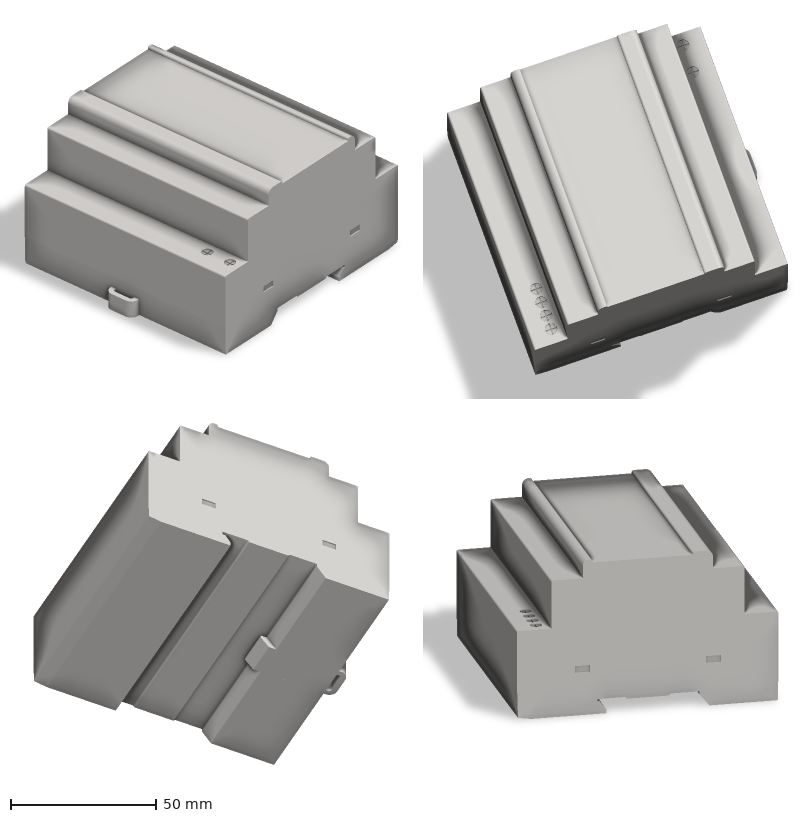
import cadquery as cq

WIDTH = 90.0
OVERALL_DEPTH = 95.8
HALF_DEPTH = 46.2
SPLIT_Z = 10.8

LOWER_STEP_Z = 32.2
UPPER_STEP_Z = 49.6
UPPER_STEP_HALF_DEPTH = 34.1
TOP_Z = 56.2
PANEL_Z = 55.1
RIDGE_OUTER_Y = 23.0
FRONT_RIDGE_INNER_Y = -15.7
BACK_RIDGE_INNER_Y = 19.5
STEP_EDGE_RADIUS = 0.7
RIDGE_OUTER_RADIUS = 2.3
RIDGE_INNER_RADIUS = 0.8

WINDOW_LENGTH = 5.2
WINDOW_HEIGHT = 2.5
WINDOW_DEPTH = 0.5
WINDOW_Y = 23.1
WINDOW_Z = 16.7

SCREW_DIAMETER = 4.2
SCREW_RECESS = 0.5
SLOT_WIDTH = 0.5
SLOT_DEPTH = 0.5
SCREW_Y = 38.3
SCREW_PITCH = 5.1
BACK_SCREW_COUNT = 4
BACK_SCREW_FIRST_X = -39.8
FRONT_SCREW_COUNT = 2
FRONT_SCREW_PITCH = 2 * SCREW_PITCH
FRONT_SCREW_FIRST_X = 30.4

BASE_TAPER = 0.3
BACK_BEVEL_Y = 41.2
BACK_BEVEL_HEIGHT = 0.8
RAIL_CEILING_Z = 5.4
RAIL_LEDGE_Z = 4.2
RAIL_BACK_Y = 17.7
RAIL_FRONT_Y = -18.3
BACK_HOOK_ROOT_Y = 16.8
BACK_HOOK_TIP_Y = 14.7
BACK_HOOK_TIP_Z = 1.4
FRONT_BEVEL_Y = -21.7
PAD_HALF_DEPTH = 7.5
PAD_Z = 4.7
PAD_SLOPE = 0.6

CLIP_WIDTH = 12.3
CLIP_HOOK_Y = -15.9
CLIP_HOOK_EDGE_Z = 3.3
CLIP_UNDERSIDE_Y = -19.0
TONGUE_END_Y = -44.1
LOOP_END_Y = HALF_DEPTH - OVERALL_DEPTH
LOOP_HEIGHT = 6.6
LOOP_WALL = 1.9
LOOP_OUTER_RADIUS = 3.0


def extrude_along_x(points, width):
    """Prism with the given (y, z) outline, centred on X = 0."""
    return cq.Workplane("YZ").polyline(points).close().extrude(width / 2, both=True)


def round_edges_along_x(body, edges, radius):
    """Fillet the long edges that pass through the given (y, z) points."""
    for y, z in edges:
        body = body.edges(cq.selectors.NearestToPointSelector((0, y, z))).fillet(radius)
    return body


def housing_block():
    outline = [
        (-HALF_DEPTH, SPLIT_Z),
        (-HALF_DEPTH, LOWER_STEP_Z),
        (-UPPER_STEP_HALF_DEPTH, LOWER_STEP_Z),
        (-UPPER_STEP_HALF_DEPTH, UPPER_STEP_Z),
        (-RIDGE_OUTER_Y, UPPER_STEP_Z),
        (-RIDGE_OUTER_Y, TOP_Z),
        (FRONT_RIDGE_INNER_Y, TOP_Z),
        (FRONT_RIDGE_INNER_Y, PANEL_Z),
        (BACK_RIDGE_INNER_Y, PANEL_Z),
        (BACK_RIDGE_INNER_Y, TOP_Z),
        (RIDGE_OUTER_Y, TOP_Z),
        (RIDGE_OUTER_Y, UPPER_STEP_Z),
        (UPPER_STEP_HALF_DEPTH, UPPER_STEP_Z),
        (UPPER_STEP_HALF_DEPTH, LOWER_STEP_Z),
        (HALF_DEPTH, LOWER_STEP_Z),
        (HALF_DEPTH, SPLIT_Z),
    ]
    block = extrude_along_x(outline, WIDTH)

    step_edges = []
    ridge_edges = []
    for side in (-1, 1):
        step_edges.append((side * HALF_DEPTH, LOWER_STEP_Z))
        step_edges.append((side * UPPER_STEP_HALF_DEPTH, UPPER_STEP_Z))
        ridge_edges.append((side * RIDGE_OUTER_Y, TOP_Z))
    inner_edges = [(FRONT_RIDGE_INNER_Y, TOP_Z), (BACK_RIDGE_INNER_Y, TOP_Z)]

    block = round_edges_along_x(block, step_edges, STEP_EDGE_RADIUS)
    block = round_edges_along_x(block, ridge_edges, RIDGE_OUTER_RADIUS)
    return round_edges_along_x(block, inner_edges, RIDGE_INNER_RADIUS)


def latch_windows():
    """Shallow rectangular recesses, two in each end wall."""
    centres = []
    for x in (-WIDTH / 2, WIDTH / 2):
        for y in (-WINDOW_Y, WINDOW_Y):
            centres.append((x, y))
    window = cq.Workplane("XY").workplane(offset=WINDOW_Z).pushPoints(centres)
    return window.box(2 * WINDOW_DEPTH, WINDOW_LENGTH, WINDOW_HEIGHT)


def screw_recess(x, y):
    """Round recess with a cross slot in its floor, cut down from the lower step."""
    floor_z = LOWER_STEP_Z - SCREW_RECESS
    recess = cq.Workplane("XY", origin=(x, y, floor_z)).circle(SCREW_DIAMETER / 2).extrude(SCREW_RECESS)
    bars = cq.Workplane("XY", origin=(x, y, floor_z - SLOT_DEPTH)).rect(SCREW_DIAMETER, SLOT_WIDTH)
    slot = bars.extrude(SLOT_DEPTH)
    cross = slot.union(slot.rotate((x, y, 0), (x, y, 1), 90))
    round_limit = cq.Workplane("XY", origin=(x, y, floor_z - SLOT_DEPTH)).circle(SCREW_DIAMETER / 2)
    return recess.union(cross.intersect(round_limit.extrude(SLOT_DEPTH)))


def make_housing():
    housing = housing_block().cut(latch_windows())
    for i in range(BACK_SCREW_COUNT):
        housing = housing.cut(screw_recess(BACK_SCREW_FIRST_X + i * SCREW_PITCH, SCREW_Y))
    for i in range(FRONT_SCREW_COUNT):
        housing = housing.cut(screw_recess(FRONT_SCREW_FIRST_X + i * FRONT_SCREW_PITCH, -SCREW_Y))
    return housing


def make_clip():
    tongue_outline = [
        (TONGUE_END_Y, 0),
        (CLIP_UNDERSIDE_Y, 0),
        (CLIP_HOOK_Y, CLIP_HOOK_EDGE_Z),
        (CLIP_HOOK_Y, RAIL_LEDGE_Z),
        (TONGUE_END_Y, RAIL_LEDGE_Z),
    ]
    tongue = extrude_along_x(tongue_outline, CLIP_WIDTH)

    loop_length = TONGUE_END_Y - LOOP_END_Y
    loop_centre_y = (TONGUE_END_Y + LOOP_END_Y) / 2
    loop = (
        cq.Workplane("XY", origin=(0, loop_centre_y, 0))
        .rect(CLIP_WIDTH, loop_length)
        .extrude(LOOP_HEIGHT)
        .edges("|Z and <Y")
        .fillet(LOOP_OUTER_RADIUS)
    )
    opening = (
        cq.Workplane("XY", origin=(0, loop_centre_y + LOOP_WALL / 2, 0))
        .rect(CLIP_WIDTH - 2 * LOOP_WALL, loop_length - LOOP_WALL)
        .extrude(LOOP_HEIGHT)
        .edges("|Z and <Y")
        .fillet(LOOP_OUTER_RADIUS - LOOP_WALL)
    )
    return tongue.union(loop.cut(opening))


def make_base(clip):
    """Base with a slot that matches the clip."""
    foot_half_depth = HALF_DEPTH - BASE_TAPER
    outline = [
        (-HALF_DEPTH, SPLIT_Z),
        (-foot_half_depth, 0),
        (FRONT_BEVEL_Y, 0),
        (RAIL_FRONT_Y, RAIL_LEDGE_Z),
        (RAIL_FRONT_Y, RAIL_CEILING_Z),
        (-PAD_HALF_DEPTH - PAD_SLOPE, RAIL_CEILING_Z),
        (-PAD_HALF_DEPTH, PAD_Z),
        (PAD_HALF_DEPTH, PAD_Z),
        (PAD_HALF_DEPTH + PAD_SLOPE, RAIL_CEILING_Z),
        (RAIL_BACK_Y, RAIL_CEILING_Z),
        (RAIL_BACK_Y, RAIL_LEDGE_Z),
        (BACK_HOOK_ROOT_Y, RAIL_LEDGE_Z),
        (BACK_HOOK_TIP_Y, BACK_HOOK_TIP_Z),
        (BACK_HOOK_TIP_Y, 0),
        (BACK_BEVEL_Y, 0),
        (foot_half_depth, BACK_BEVEL_HEIGHT),
        (HALF_DEPTH, SPLIT_Z),
    ]
    return extrude_along_x(outline, WIDTH).cut(clip)


housing = make_housing()
clip = make_clip()
base = make_base(clip)

result = cq.Compound.makeCompound([housing.val(), base.val(), clip.val()])